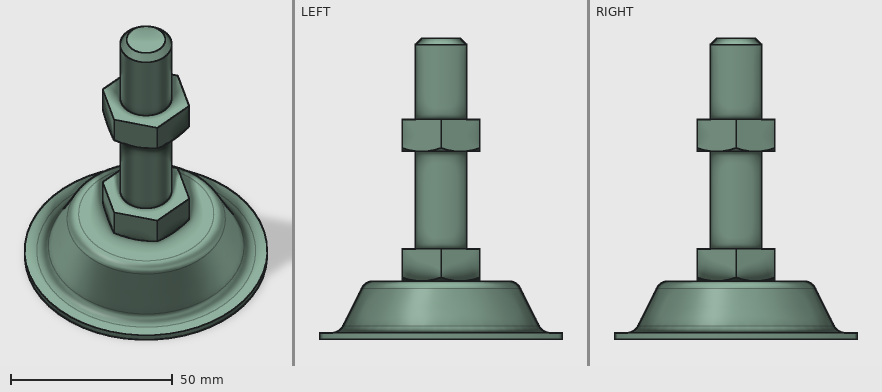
import cadquery as cq
import math

total_height = 93.0

flange_diameter = 75.0
flange_thickness = 2.0
foot_height = 18.0
crown_radius = 23.3
cone_slope = 0.5
foot_fillet = 4.0
cone_foot_radius = crown_radius + cone_slope * (foot_height - flange_thickness)

stud_diameter = 16.0
stud_chamfer = 2.0
stud_length = total_height - foot_height

nut_across_flats = 24.0
nut_height = 9.95
nut_spacing = 40.0
nut_count = 2
nut_chamfer_angle = 30.0
nut_across_corners = nut_across_flats / math.cos(math.pi / 6)


def make_foot():
    """Disc flange running through a fillet into a cone with a rounded crown."""
    sharp_foot = (
        cq.Workplane("XZ")
        .moveTo(0, 0)
        .lineTo(flange_diameter / 2, 0)
        .lineTo(flange_diameter / 2, flange_thickness)
        .lineTo(cone_foot_radius, flange_thickness)
        .lineTo(crown_radius, foot_height)
        .lineTo(0, foot_height)
        .close()
        .revolve(360, (0, 0, 0), (0, 1, 0))
    )
    crown_edge = cq.selectors.RadiusNthSelector(0)
    cone_foot_edge = cq.selectors.RadiusNthSelector(1)
    return (
        sharp_foot
        .edges(cone_foot_edge).fillet(foot_fillet)
        .edges(">Z").edges(crown_edge).fillet(foot_fillet)
    )


def make_stud():
    """Rod with a chamfered free end."""
    return (
        cq.Workplane("XY", origin=(0, 0, foot_height))
        .circle(stud_diameter / 2)
        .extrude(stud_length)
        .faces(">Z").chamfer(stud_chamfer)
    )


def make_nut(base_z):
    """Hex nut with corners on the X axis, bored for the stud, its lower corners turned off by a cone."""
    flat_radius = nut_across_flats / 2
    top_radius = flat_radius + nut_height / math.tan(math.radians(nut_chamfer_angle))
    hexagon = cq.Workplane("XY").polygon(6, nut_across_corners).extrude(nut_height)
    chamfer_cone = (
        cq.Workplane("XZ")
        .moveTo(0, 0)
        .lineTo(flat_radius, 0)
        .lineTo(top_radius, nut_height)
        .lineTo(0, nut_height)
        .close()
        .revolve(360, (0, 0, 0), (0, 1, 0))
    )
    bore = cq.Workplane("XY").circle(stud_diameter / 2).extrude(nut_height)
    return hexagon.intersect(chamfer_cone).cut(bore).translate((0, 0, base_z))


foot = make_foot()
stud = make_stud()
nuts = [make_nut(foot_height + i * nut_spacing) for i in range(nut_count)]

result = cq.Compound.makeCompound([foot.solids().val(), stud.solids().val(), *[nut.solids().val() for nut in nuts]])